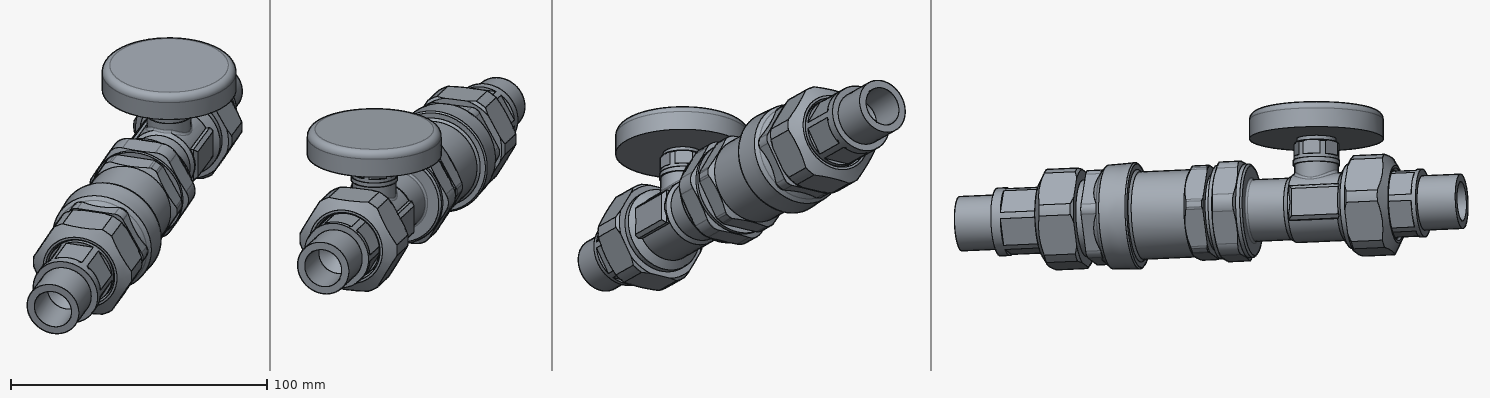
import cadquery as cq
import math

length = 201.3
rear_end_y = length / 2

pipe_dia = 21.3
pipe_length = 15.3
bore_dia = 15.3
bore_depth = 16.1
bore_tip_angle = 90
tail_dia = 26.5
tail_across_flats = 24.2
tail_flat_length = 13.9
rear_collar_length = 1.8
front_collar_length = 3.8
tail_flange_length = 3.0

nut_length = 16.5
nut_across_flats = 37.0
nut_corner_dia = 40.5
nut_face_dia = 30.4
nut_cone_length = 3.0
nut_back_dia = 38.2
nut_back_chamfer = 1.0
nut_lip_length = 5.0
nut_bore_dia = 27.0
nut_countersink_dia = 28.4
nut_countersink_depth = 1.0
thread_dia = 30.0
rear_nut_station = 26.0
front_nut_station = 167.9
thread_engagement = nut_length - nut_lip_length - tail_flange_length

shoulder_dia = 33.0
shoulder_length = 2.5
valve_barrel_dia = 26.5
barrel_start_station = 47.1
barrel_end_station = 66.8
barrel_taper_length = 1.8
valve_pipe_dia = 24.2
socket_start_station = 84.0
socket_end_station = 97.5
socket_root_radius = 0.8
socket_corner_radius = 6.8
socket_corner_dia = 40.7
socket_rim_dia = 36.6
socket_rear_rim_length = 2.5
socket_front_rim_length = 1.5
socket_rim_chamfer = 0.8
socket_hex_chamfer = 0.8
socket_depth = 10

pad_face_x = 14
pad_height = 13.7
pad_edge = 1.5
pad_start_station = 44.9
pad_end_station = 66.5

stem_station = 58.4
stem_dia = 17.1
stem_top_z = 17.0
stem_root_radius = 1.2
gland_ring_dia = 18.1
gland_ring_top_z = 18.7
gland_hex_bottom_z = 20.1
gland_hex_top_z = 25.8
gland_across_flats = 16.3
gland_corner_dia = 17.7
gland_neck_dia = 15.3
gland_chamfer = 0.6
wheel_dia = 52.3
wheel_bottom_z = 27.4
wheel_top_z = 37.8
wheel_edge_radius = 3.0

housing_dia = 34.2
housing_across_flats = 34.6
housing_corner_dia = 38.5
housing_corner_radius = 4
rear_hex_start_station = 99.5
rear_hex_end_station = 107.5
hex_chamfer_length = 1.5
hex_back_chamfer = 0.5
band_root_station = 128.6
band_root_dia = 36.2
band_start_station = 129.6
band_end_station = 142.3
band_rear_dia = 41.7
band_front_dia = 40.7
band_rear_chamfer = 0.6
band_front_chamfer = 1.5
band_skirt_end_station = 144.3
front_hex_end_station = 148.4


def revolve_profile(stations):
    """Solid of revolution about the Y axis from (station, diameter) pairs."""
    points = [(dia / 2, rear_end_y - station) for station, dia in stations]
    first_y = rear_end_y - stations[0][0]
    last_radius, last_y = points[-1]
    if last_radius > 0:
        points.append((0, last_y))
    outline = cq.Workplane("XY").polyline([(0, first_y), *points]).close()
    return outline.revolve(360, (0, 0, 0), (0, 1, 0))


def cylinder(start, end, dia):
    return revolve_profile([(start, dia), (end, dia)])


def hex_bar(start, end, across_flats, corner_radius=0):
    """Hexagonal bar along the Y axis with flats at the top and the bottom."""
    corner_to_corner = across_flats * 2 / math.sqrt(3)
    bar = (
        cq.Workplane("XZ", origin=(0, rear_end_y - start, 0))
        .polygon(6, corner_to_corner)
        .extrude(end - start)
    )
    if corner_radius:
        bar = bar.edges("|Y").fillet(corner_radius)
    return bar


def facing_forward(solid):
    """Mirror a solid end for end, about the middle of the part."""
    return solid.mirror("XZ")


def make_tail(collar_length, nut_station):
    """Rear tailpiece: pipe end, collar, six flats and the flange held by the union nut."""
    collar_end = pipe_length + collar_length
    flats_end = collar_end + tail_flat_length
    flange_start = nut_station + nut_lip_length
    flange_end = flange_start + tail_flange_length
    tail = cylinder(0, pipe_length, pipe_dia)
    tail = tail.union(cylinder(pipe_length, flange_start, tail_dia))
    tail = tail.union(cylinder(flange_start, flange_end, thread_dia))
    hexagon = hex_bar(collar_end, flats_end, tail_across_flats)
    around_flats = cylinder(collar_end, flats_end, thread_dia).cut(hexagon)
    tip_length = bore_dia / 2 / math.tan(math.radians(bore_tip_angle / 2))
    bore = revolve_profile([(0, bore_dia), (bore_depth, bore_dia), (bore_depth + tip_length, 0)])
    return tail.cut(around_flats).cut(bore)


def make_nut(nut_station):
    """Rear union nut: a hexagon turned down to a cone on its outer end."""
    nut_end = nut_station + nut_length
    nut = hex_bar(nut_station, nut_end, nut_across_flats).intersect(
        revolve_profile([
            (nut_station, nut_face_dia),
            (nut_station + nut_cone_length, nut_corner_dia),
            (nut_end - nut_back_chamfer, nut_corner_dia),
            (nut_end, nut_back_dia),
        ])
    )
    bore = revolve_profile([
        (nut_station, nut_countersink_dia),
        (nut_station + nut_countersink_depth, nut_bore_dia),
        (nut_station + nut_lip_length, nut_bore_dia),
        (nut_station + nut_lip_length, thread_dia),
        (nut_end, thread_dia),
    ])
    return nut.cut(bore)


def make_valve_run():
    """Turned length of the valve body, from its rear thread to the socket."""
    thread_end = rear_nut_station + nut_length
    shoulder_end = thread_end + shoulder_length
    return revolve_profile([
        (thread_end - thread_engagement, thread_dia),
        (thread_end, thread_dia),
        (thread_end, shoulder_dia),
        (shoulder_end, shoulder_dia),
        (barrel_start_station, valve_barrel_dia),
        (barrel_end_station, valve_barrel_dia),
        (barrel_end_station + barrel_taper_length, valve_pipe_dia),
        (socket_start_station, valve_pipe_dia),
    ])


def make_socket():
    """Hexagonal socket with rounded corners and a round rim at both ends."""
    rear_rim_end = socket_start_station + socket_rear_rim_length
    front_rim_start = socket_end_station - socket_front_rim_length
    hexagon = hex_bar(socket_start_station, socket_end_station, nut_across_flats, socket_corner_radius)
    return hexagon.intersect(revolve_profile([
        (socket_start_station, socket_rim_dia - 2 * socket_rim_chamfer),
        (socket_start_station + socket_rim_chamfer, socket_rim_dia),
        (rear_rim_end, socket_rim_dia),
        (rear_rim_end + socket_hex_chamfer, socket_corner_dia),
        (front_rim_start - socket_hex_chamfer, socket_corner_dia),
        (front_rim_start, socket_rim_dia),
        (socket_end_station, socket_rim_dia),
    ]))


def make_pad(side):
    """Raised pad with sloping edges on the side of the barrel given by the sign of X."""
    pad_length = pad_end_station - pad_start_station
    pad_middle_y = rear_end_y - (pad_start_station + pad_end_station) / 2
    pad = cq.Workplane("XY").box(pad_face_x, pad_length, pad_height)
    outer_face = ">X" if side > 0 else "<X"
    pad = pad.faces(outer_face).chamfer(pad_edge)
    return pad.translate((side * pad_face_x / 2, pad_middle_y, 0))


def make_gland_and_wheel():
    """Gland and hand wheel standing on the valve stem."""
    base = cq.Workplane("XY", origin=(0, rear_end_y - stem_station, 0))
    ring = base.workplane(offset=stem_top_z).circle(gland_ring_dia / 2).extrude(gland_ring_top_z - stem_top_z)
    hex_height = gland_hex_top_z - gland_hex_bottom_z
    hex_base = base.workplane(offset=gland_hex_bottom_z)
    hex_foot = (
        base.workplane(offset=gland_ring_top_z)
        .circle(gland_corner_dia / 2)
        .extrude(gland_hex_bottom_z - gland_ring_top_z)
    )
    hexagon = (
        hex_base.transformed(rotate=(0, 0, 30))
        .polygon(6, gland_across_flats * 2 / math.sqrt(3))
        .extrude(hex_height)
    )
    corner_limit = hex_base.circle(gland_corner_dia / 2).extrude(hex_height)
    hexagon = hexagon.intersect(corner_limit.faces(">Z").chamfer(gland_chamfer))
    neck = (
        base.workplane(offset=gland_hex_top_z)
        .circle(gland_neck_dia / 2)
        .extrude(wheel_bottom_z - gland_hex_top_z)
    )
    wheel = (
        base.workplane(offset=wheel_bottom_z)
        .circle(wheel_dia / 2)
        .extrude(wheel_top_z - wheel_bottom_z)
        .faces(">Z").edges().fillet(wheel_edge_radius)
    )
    return ring.union(hex_foot).union(hexagon).union(neck).union(wheel)


def make_barrel_and_stem():
    """Turned run with the stem rising from its barrel through a filleted root."""
    run = make_valve_run()
    stem = (
        cq.Workplane("XY", origin=(0, rear_end_y - stem_station, 0))
        .circle(stem_dia / 2)
        .extrude(stem_top_z)
    )
    root_zone = cq.selectors.BoxSelector(
        (-stem_dia, rear_end_y - stem_station - stem_dia / 2 - stem_root_radius, stem_dia / 4),
        (stem_dia, rear_end_y - stem_station + stem_dia / 2 + stem_root_radius, stem_top_z - stem_root_radius),
        boundingbox=True,
    )
    return run.union(stem).edges(root_zone).fillet(stem_root_radius)


def make_valve_body():
    root_y = rear_end_y - socket_start_station
    reach = valve_pipe_dia / 2 + socket_root_radius
    socket_root = cq.selectors.BoxSelector(
        (-reach, root_y - socket_root_radius, -reach),
        (reach, root_y + socket_root_radius, reach),
        boundingbox=True,
    )
    body = make_barrel_and_stem().union(make_socket())
    body = body.edges(socket_root).fillet(socket_root_radius)
    for side in (-1, 1):
        body = body.union(make_pad(side))
    body = body.union(make_gland_and_wheel())
    return body.cut(cylinder(socket_end_station - socket_depth, socket_end_station, thread_dia))


def make_housing():
    """Housing with a threaded end and a hexagon at both ends, and a tapered band."""
    thread_front_end = front_nut_station - nut_length + thread_engagement
    housing = cylinder(socket_end_station - socket_depth, thread_front_end, thread_dia)
    housing = housing.union(cylinder(rear_hex_end_station, band_root_station, housing_dia))

    rear_hex = hex_bar(rear_hex_start_station, rear_hex_end_station, housing_across_flats, housing_corner_radius)
    rear_hex = rear_hex.intersect(revolve_profile([
        (rear_hex_start_station, housing_corner_dia - 2 * hex_back_chamfer),
        (rear_hex_start_station + hex_back_chamfer, housing_corner_dia),
        (rear_hex_end_station - hex_chamfer_length, housing_corner_dia),
        (rear_hex_end_station, housing_dia),
    ]))

    band = revolve_profile([
        (band_root_station, housing_dia),
        (band_start_station, band_root_dia),
        (band_start_station, band_rear_dia - 2 * band_rear_chamfer),
        (band_start_station + band_rear_chamfer, band_rear_dia),
        (band_end_station - band_front_chamfer, band_front_dia),
        (band_end_station, band_front_dia - 2 * band_front_chamfer),
        (band_skirt_end_station, housing_dia),
    ])

    front_hex = hex_bar(band_end_station, front_hex_end_station, housing_across_flats, housing_corner_radius)
    return housing.union(rear_hex).union(band).union(front_hex)


front_nut_mirrored_station = length - front_nut_station
rear_tail = make_tail(rear_collar_length, rear_nut_station)
front_tail = facing_forward(make_tail(front_collar_length, front_nut_mirrored_station))
rear_nut = make_nut(rear_nut_station)
front_nut = facing_forward(make_nut(front_nut_mirrored_station))
valve_body = make_valve_body()
housing = make_housing()

result = cq.Compound.makeCompound([
    rear_tail.val(),
    rear_nut.val(),
    valve_body.val(),
    housing.val(),
    front_nut.val(),
    front_tail.val(),
])